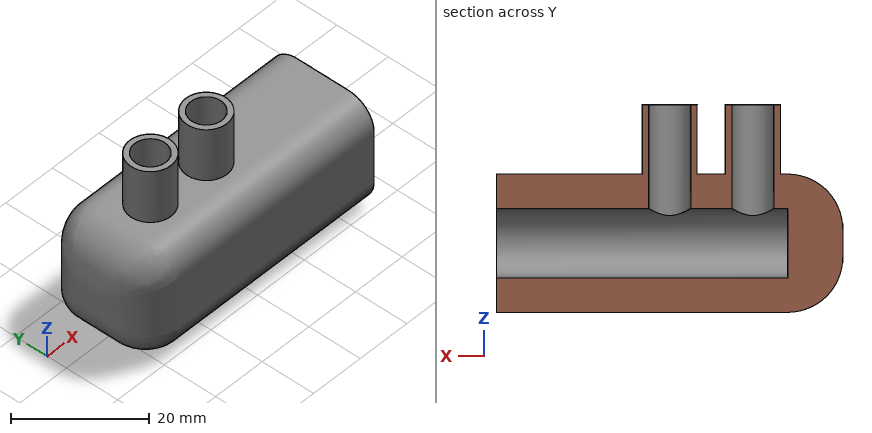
import cadquery as cq

length = 50.0
width = 20.0
port_height = 10.0
nose_radius = 8.0
edge_radius = 5.0

port_outer_diameter = 8.0
port_inner_diameter = 6.0
first_port_offset = 13.0
port_spacing = 12.0
port_count = 2

bore_diameter = 10.0
bore_start = nose_radius

nose_x = -length / 2
bottom_z = -(width + port_height) / 2
axis_z = bottom_z + width / 2
top_z = bottom_z + width


def make_block():
    """Square bar; the nose is rounded first so the edge rounds run on over it."""
    block = cq.Workplane("XY").box(length, width, width).translate((0, 0, axis_z))
    block = block.faces("<X").edges().fillet(nose_radius)
    return block.edges("|X").fillet(edge_radius)


def port_cylinder(x, diameter, start_z):
    """Vertical cylinder from start_z up to the port mouth."""
    height = top_z + port_height - start_z
    return cq.Workplane("XY", origin=(x, 0, start_z)).circle(diameter / 2).extrude(height)


def make_bore():
    """Horizontal bore from behind the nose to the +X end."""
    start = (nose_x + bore_start, 0, axis_z)
    return cq.Workplane("YZ", origin=start).circle(bore_diameter / 2).extrude(length - bore_start)


def make_housing():
    """Domed block with its ports, hollowed by the bore and the port passages."""
    body = make_block()
    port_positions = [nose_x + first_port_offset + i * port_spacing for i in range(port_count)]
    for x in port_positions:
        body = body.union(port_cylinder(x, port_outer_diameter, top_z))
    body = body.cut(make_bore())
    for x in port_positions:
        body = body.cut(port_cylinder(x, port_inner_diameter, axis_z))
    return body


housing = make_housing()
result = cq.Compound.makeCompound([housing.solids().val()])